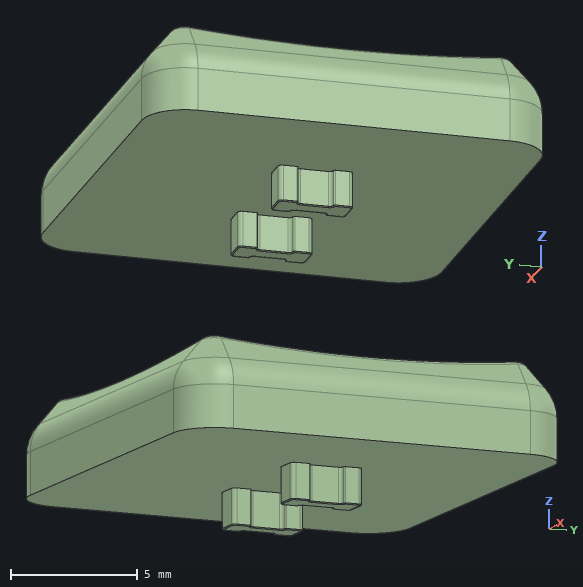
import cadquery as cq
import math

cap_length = 17.45
cap_width = 16.45
corner_radius = 1.8
shoulder_radius = 1.8
wall_height = 1.76
slope_angle = 40.0

dish_radius = 46.25
dish_floor = 2.98
rim_radius = 0.4

stem_spacing = 5.69
stem_thickness = 1.2
stem_length = 3.07
stem_height = 1.5
stem_corner_radius = 0.17
stem_tip_chamfer = 0.044
waist_length = 1.47
waist_depth = 0.23
waist_inner_radius = 0.15
waist_outer_radius = 0.05

slope = math.radians(slope_angle)
shoulder_inset = shoulder_radius * (1 - math.cos(slope))
shoulder_top = wall_height + shoulder_radius * math.sin(slope)

blank_height = 4.28
blank_inset = shoulder_inset + (blank_height - shoulder_top) * math.tan(slope)


def side_profile(plane, half_width, inner):
    """Half section of the cap from the offset `inner` out to the wall."""
    middle_inset = shoulder_radius * (1 - math.cos(slope / 2))
    middle_height = wall_height + shoulder_radius * math.sin(slope / 2)
    return (
        cq.Workplane(plane)
        .moveTo(inner, 0)
        .lineTo(half_width, 0)
        .lineTo(half_width, wall_height)
        .threePointArc(
            (half_width - middle_inset, middle_height),
            (half_width - shoulder_inset, shoulder_top),
        )
        .lineTo(half_width - blank_inset, blank_height)
        .lineTo(inner, blank_height)
        .close()
    )


def make_cap_blank():
    """Solid cap with sloped sides and round corners, before dishing."""
    straight_x = cap_length - 2 * corner_radius
    straight_y = cap_width - 2 * corner_radius
    blank = cq.Workplane("XY").box(straight_x, straight_y, blank_height, centered=(True, True, False))
    for turn in (0, 180):
        end = side_profile("XZ", cap_length / 2, straight_x / 2).extrude(straight_y / 2, both=True)
        side = side_profile("YZ", cap_width / 2, straight_y / 2).extrude(straight_x / 2, both=True)
        blank = blank.union(end.rotate((0, 0, 0), (0, 0, 1), turn))
        blank = blank.union(side.rotate((0, 0, 0), (0, 0, 1), turn))
    corner = side_profile("XZ", corner_radius, 0).revolve(360, (0, 0, 0), (0, 1, 0))
    for x in (-straight_x / 2, straight_x / 2):
        for y in (-straight_y / 2, straight_y / 2):
            blank = blank.union(corner.translate((x, y, 0)))
    return blank.clean()


def make_cap():
    """Cap with the spherical dish and its rounded rim."""
    dish = cq.Workplane("XY").sphere(dish_radius).rotate((0, 0, 0), (1, 0, 0), 90)
    cap = make_cap_blank().cut(dish.translate((0, 0, dish_floor + dish_radius)))
    dish_face = cq.selectors.NearestToPointSelector((0, 0, dish_floor))
    return cap.faces(dish_face).edges().fillet(rim_radius)


def fillet_upright_edges(body, half_x, half_y, radius):
    """Round the four vertical edges at (+-half_x, +-half_y)."""
    reach = radius / 4
    for x in (-half_x, half_x):
        for y in (-half_y, half_y):
            near_edge = cq.selectors.BoxSelector(
                (x - reach, y - reach, -stem_height),
                (x + reach, y + reach, 0),
            )
            body = body.edges("|Z").edges(near_edge).fillet(radius)
    return body


def make_stem():
    """Upright tab with a shallow recess in the middle of both broad sides."""
    half_x = stem_thickness / 2
    stem = cq.Workplane("XY").rect(stem_thickness, stem_length).extrude(-stem_height)
    for x in (-half_x, half_x):
        recess = cq.Workplane("XY").center(x, 0).rect(2 * waist_depth, waist_length)
        stem = stem.cut(recess.extrude(-stem_height))
    stem = fillet_upright_edges(stem, half_x, stem_length / 2, stem_corner_radius)
    stem = fillet_upright_edges(stem, half_x, waist_length / 2, waist_outer_radius)
    stem = fillet_upright_edges(stem, half_x - waist_depth, waist_length / 2, waist_inner_radius)
    return stem.faces("<Z").chamfer(stem_tip_chamfer)


result = make_cap()
for stem_x in (-stem_spacing / 2, stem_spacing / 2):
    result = result.union(make_stem().translate((stem_x, 0, 0)))